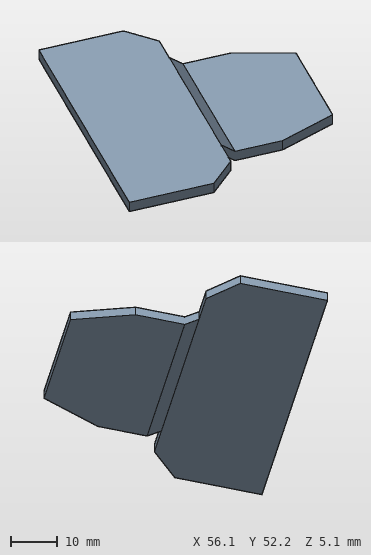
import cadquery as cq

width = 56.1
length = 52.25
height = 5.1

thickness = 2.5
plate_depth = 25.2
corner_run_x = 5.95
corner_run_y = 6.0

tongue_width = 32.25
step_run = 3.15
taper_length = 13.05
taper_inset = 4.75

drop = height - thickness
step_end = plate_depth + step_run


def make_plate():
    """Wide plate with its two rear corners cut off."""
    half = width / 2
    outline = [
        (-half, 0),
        (half, 0),
        (half, plate_depth - corner_run_y),
        (half - corner_run_x, plate_depth),
        (-half + corner_run_x, plate_depth),
        (-half, plate_depth - corner_run_y),
    ]
    return cq.Workplane("XY").workplane(offset=drop).polyline(outline).close().extrude(thickness)


def make_step():
    """Sloping strip of constant vertical thickness."""
    profile = [
        (plate_depth, drop),
        (plate_depth, height),
        (step_end, thickness),
        (step_end, 0),
    ]
    return cq.Workplane("YZ").polyline(profile).close().extrude(tongue_width / 2, both=True)


def make_tongue():
    """Lower tongue that narrows towards its free end."""
    half = tongue_width / 2
    outline = [
        (-half, step_end),
        (half, step_end),
        (half, length - taper_length),
        (half - taper_inset, length),
        (-half + taper_inset, length),
        (-half, length - taper_length),
    ]
    return cq.Workplane("XY").polyline(outline).close().extrude(thickness)


result = make_plate().union(make_step()).union(make_tongue())